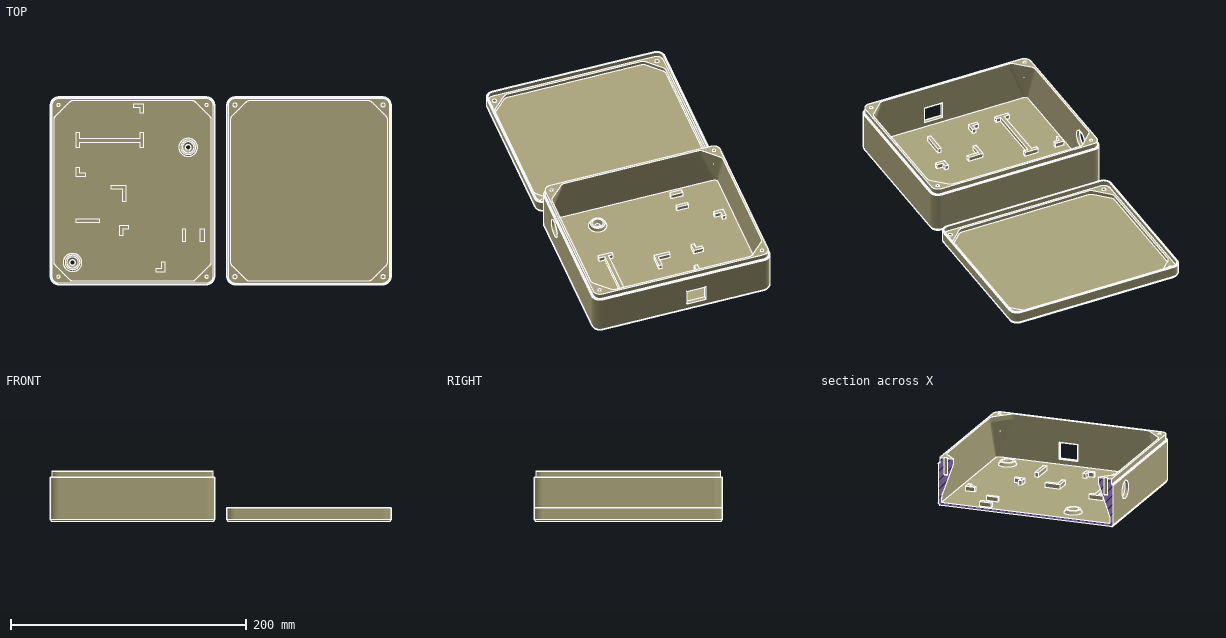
import cadquery as cq
import math

LENGTH_X = 140.0
LENGTH_Y = 160.0
CORNER_RADIUS = 7.5
BOTTOM_CHAMFER_RISE = 2.0
BOTTOM_CHAMFER_INSET = 1.15
RIM_CHAMFER = 0.5
WALL = 3.25
FLOOR = 3.0
LIP_INSET = 1.5
LIP_HEIGHT = 5.0
CORNER_LEG = 14.5
FOOT_LEG = 2.0
CORNER_BLEND = 5.0
SCREW_INSET = 7.0

BOX_HEIGHT = 43.0
SHOULDER_Z = BOX_HEIGHT - LIP_HEIGHT
POST_STRAIGHT = 5.0
BOX_SCREW_DIAMETER = 2.7
BOX_SCREW_DEPTH = 15.0
RIB_WIDTH = 3.0
RIB_HEIGHT = 4.0

LID_HEIGHT = 12.0
LID_GAP = 10.0
LID_LEDGE_Z = LID_HEIGHT - LIP_HEIGHT
LID_SCREW_DIAMETER = 3.5
FIT_CLEARANCE = 0.1

BOSS_CENTRES = [(47.3, 37.0), (-51.0, -60.9)]
BOSS_BASE_DIAMETER = 15.6
BOSS_TOP_DIAMETER = 12.4
BOSS_HEIGHT = 3.0
BOSS_HOLE_DIAMETER = 4.5
BOSS_SINK_DIAMETER = 9.6

WINDOW_WIDTH = 17.0
WINDOW_HEIGHT = 15.0
WINDOW_CENTRE_Y = -11.7
WINDOW_CENTRE_Z = 15.0
PORT_DIAMETER = 15.6
PORT_CENTRE_X = 35.5
PORT_CENTRE_Z = 25.0

CORNER_RIBS = [
    (9.5, 74.0, -8.5, -8.0),
    (-48.0, 12.0, 8.0, 8.0),
    (-5.5, 4.5, -13.0, -13.5),
    (-11.0, -29.5, 7.5, -8.5),
    (27.5, -69.0, -7.5, 8.5),
]
STRAIGHT_RIBS = [
    (-48.0, -45.0, 37.0, 49.5),
    (6.5, 9.5, 37.0, 49.5),
    (-45.0, 6.5, 41.0, 44.5),
    (-48.0, -28.0, -27.0, -24.0),
    (42.4, 45.0, -43.0, -32.5),
    (57.5, 61.0, -43.0, -32.5),
]

CAVITY_X = LENGTH_X - 2 * WALL
CAVITY_Y = LENGTH_Y - 2 * WALL
SCREW_X = LENGTH_X / 2 - SCREW_INSET
SCREW_Y = LENGTH_Y / 2 - SCREW_INSET
SCREW_POINTS = [(sx * SCREW_X, sy * SCREW_Y) for sx in (-1, 1) for sy in (-1, 1)]


def plane_at(z, x=0.0, y=0.0):
    """Horizontal workplane at height z."""
    return cq.Workplane("XY", origin=(x, y, z))


def rounded_block(inset, bottom, height):
    """Block following the outline, moved in by inset, with concentric round corners."""
    return (
        plane_at(bottom)
        .rect(LENGTH_X - 2 * inset, LENGTH_Y - 2 * inset)
        .extrude(height)
        .edges("|Z")
        .fillet(CORNER_RADIUS - inset)
    )


def outer_shell(height):
    """Solid outer form with a steep chamfer at the bottom and a small one at the top."""
    taper = math.degrees(math.atan2(BOTTOM_CHAMFER_INSET, BOTTOM_CHAMFER_RISE))
    outline = cq.Sketch().rect(LENGTH_X, LENGTH_Y).vertices().fillet(CORNER_RADIUS)
    base = plane_at(BOTTOM_CHAMFER_RISE).placeSketch(outline).extrude(-BOTTOM_CHAMFER_RISE, taper=taper)
    body = rounded_block(0, BOTTOM_CHAMFER_RISE, height - BOTTOM_CHAMFER_RISE).union(base)
    return body.faces(">Z").edges().chamfer(RIM_CHAMFER)


def cavity_sketch(leg):
    """Cavity outline with a diagonal in each corner, blended into the walls."""
    return (
        cq.Sketch()
        .rect(CAVITY_X, CAVITY_Y)
        .vertices()
        .chamfer(leg)
        .reset()
        .vertices()
        .fillet(min(CORNER_BLEND, leg))
    )


def straight_cavity(bottom, height):
    """Cavity with full-size screw posts left standing in its corners."""
    return plane_at(bottom).placeSketch(cavity_sketch(CORNER_LEG)).extrude(height)


def box_cavity():
    """Cavity whose corner posts taper away towards the floor."""
    taper_height = BOX_HEIGHT - POST_STRAIGHT - FLOOR
    lift = cq.Location(cq.Vector(0, 0, taper_height))
    lower = (
        plane_at(FLOOR)
        .placeSketch(cavity_sketch(FOOT_LEG), cavity_sketch(CORNER_LEG).moved(lift))
        .loft(ruled=True)
    )
    return lower.union(straight_cavity(FLOOR + taper_height, POST_STRAIGHT))


def screw_holes(diameter, bottom, top):
    """Four corner screw holes between two heights."""
    return plane_at(bottom).pushPoints(SCREW_POINTS).circle(diameter / 2).extrude(top - bottom)


def straight_rib(x_from, x_to, y_from, y_to):
    """Rectangular rib standing on the floor."""
    centre_x = (x_from + x_to) / 2
    centre_y = (y_from + y_to) / 2
    return plane_at(FLOOR, centre_x, centre_y).rect(x_to - x_from, y_to - y_from).extrude(RIB_HEIGHT)


def corner_rib(x, y, reach_x, reach_y):
    """L-shaped rib with its outer corner at (x, y)."""
    inner_x = x + math.copysign(RIB_WIDTH, reach_x)
    inner_y = y + math.copysign(RIB_WIDTH, reach_y)
    end_x = x + reach_x
    end_y = y + reach_y
    outline = [(x, y), (end_x, y), (end_x, inner_y), (inner_x, inner_y), (inner_x, end_y), (x, end_y)]
    return plane_at(FLOOR).polyline(outline).close().extrude(RIB_HEIGHT)


def floor_cone(x, y, bottom_diameter, top_diameter):
    """Cone frustum of boss height standing on the floor."""
    base = cq.Vector(x, y, FLOOR)
    return cq.Workplane(cq.Solid.makeCone(bottom_diameter / 2, top_diameter / 2, BOSS_HEIGHT, pnt=base))


def boss(x, y):
    """Conical boss around a mounting hole."""
    return floor_cone(x, y, BOSS_BASE_DIAMETER, BOSS_TOP_DIAMETER)


def boss_hole(x, y):
    """Through hole in the floor with a countersink in the boss."""
    hole = plane_at(0, x, y).circle(BOSS_HOLE_DIAMETER / 2).extrude(FLOOR + BOSS_HEIGHT)
    return hole.union(floor_cone(x, y, BOSS_HOLE_DIAMETER, BOSS_SINK_DIAMETER))


def window():
    """Rectangular opening through the -X wall."""
    centre = (-LENGTH_X / 2, WINDOW_CENTRE_Y, WINDOW_CENTRE_Z)
    return cq.Workplane("XY").box(2 * WALL, WINDOW_WIDTH, WINDOW_HEIGHT).translate(centre)


def port():
    """Round opening through the +Y wall."""
    centre = (PORT_CENTRE_X, LENGTH_Y / 2, PORT_CENTRE_Z)
    return cq.Workplane("XZ", origin=centre).circle(PORT_DIAMETER / 2).extrude(WALL)


def make_box():
    body = outer_shell(SHOULDER_Z)
    body = body.union(rounded_block(LIP_INSET, SHOULDER_Z, LIP_HEIGHT))
    body = body.cut(box_cavity())
    for rib in CORNER_RIBS:
        body = body.union(corner_rib(*rib))
    for rib in STRAIGHT_RIBS:
        body = body.union(straight_rib(*rib))
    for x, y in BOSS_CENTRES:
        body = body.union(boss(x, y)).cut(boss_hole(x, y))
    body = body.cut(screw_holes(BOX_SCREW_DIAMETER, BOX_HEIGHT - BOX_SCREW_DEPTH, BOX_HEIGHT))
    return body.cut(window()).cut(port())


def make_lid():
    body = outer_shell(LID_HEIGHT)
    body = body.cut(rounded_block(LIP_INSET - FIT_CLEARANCE, LID_LEDGE_Z, LIP_HEIGHT))
    body = body.cut(straight_cavity(FLOOR, LID_LEDGE_Z - FLOOR))
    body = body.cut(screw_holes(LID_SCREW_DIAMETER, FLOOR, LID_LEDGE_Z))
    return body.translate((LENGTH_X + LID_GAP, 0, 0))


box = make_box()
lid = make_lid()
result = cq.Compound.makeCompound([box.val(), lid.val()])